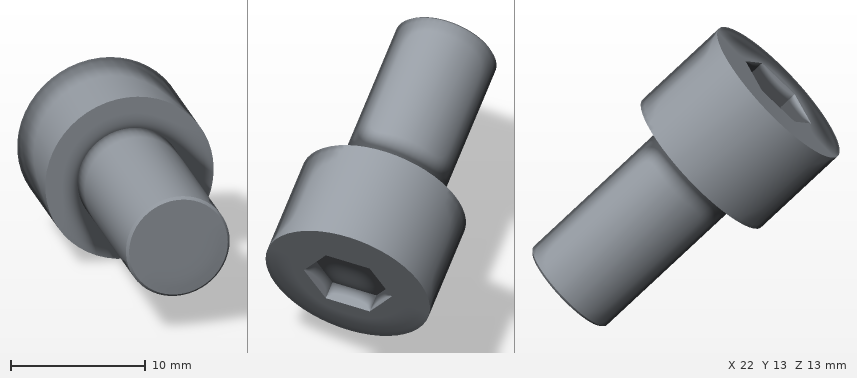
import cadquery as cq
import math

total_length = 22.0
head_diameter = 13.0
head_length = 8.0
shank_diameter = 8.0
tip_chamfer = 0.2
socket_across_flats = 6.0
socket_depth = 1.5

socket_across_corners = socket_across_flats / math.cos(math.pi / 6)


def make_head():
    return cq.Workplane("YZ").circle(head_diameter / 2).extrude(head_length)


def make_shank():
    """Shank from the head's underside to the chamfered tip."""
    shank = (
        cq.Workplane("YZ", origin=(head_length, 0, 0))
        .circle(shank_diameter / 2)
        .extrude(total_length - head_length)
    )
    return shank.faces(">X").edges().chamfer(tip_chamfer)


def make_socket():
    """Hexagonal drive recess with corners pointing along Y."""
    return cq.Workplane("YZ").polygon(6, socket_across_corners).extrude(socket_depth)


result = make_head().union(make_shank()).cut(make_socket())